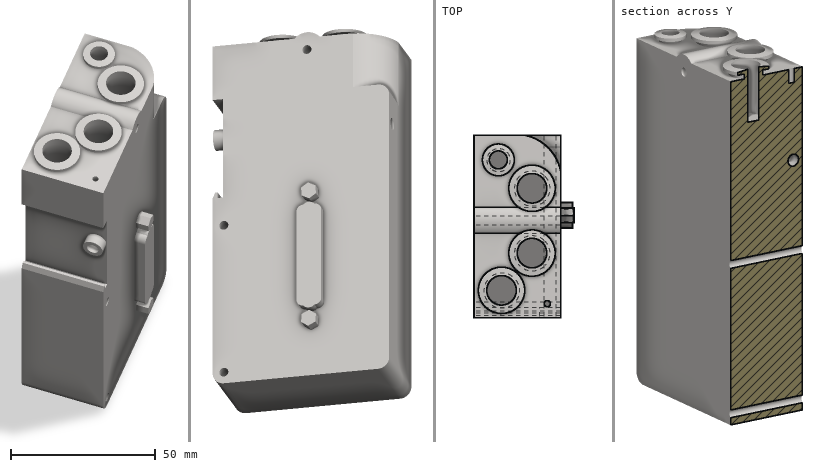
import cadquery as cq
import math

BODY_X = 30.0
BODY_Y = 63.0
BODY_Z = 124.7
OVERALL_Z = 127.92
BOTTOM_RADIUS = 4.0

RECESS_BOTTOM = 68.6
RECESS_TOP = 104.9
RECESS_DEPTH = 3.7
LIP_HEIGHT = 2.1
LIP_WIDTH = 1.8
LIP_TOP_WIDTH = 0.9

RIDGE_DIAMETER = 12.2
RIDGE_Y = 33.65
RIDGE_Z = 120.6

MOUNT_DIAMETER = 3.2
MOUNT_POINTS = [(RIDGE_Y, 120.3), (4.0, 58.3), (4.0, 4.1)]

CORNER_START = (17.6, BODY_Y)
CORNER_MIDDLE = (25.7, 58.6)
CORNER_END = (BODY_X, 50.0)
SHOULDER_Z = RECESS_TOP
SHOULDER_RADIUS = 4.0

LARGE_FITTING = {"flange": 16.0, "sleeve": 12.2, "bore": 10.2, "height": OVERALL_Z - BODY_Z}
SMALL_FITTING = {"flange": 11.0, "sleeve": 8.0, "bore": 6.2, "height": 2.8}
LARGE_POINTS = [(20.0, 44.7), (20.0, 22.35), (9.5, 9.5)]
SMALL_POINT = (8.4, 54.5)
FLANGE_THICKNESS = 1.2
FLANGE_FALL = 0.4
BORE_DEPTH = 16.0

PIN_HOLE_DIAMETER = 2.16
PIN_HOLE_POINT = (25.3, 4.9)
PIN_HOLE_DEPTH = 5.0

NOZZLE_DIAMETER = 7.2
NOZZLE_BORE = 4.2
NOZZLE_X = 26.1
NOZZLE_Z = 91.4

CONNECTOR_Y = 35.4
CONNECTOR_Z = 43.0
CONNECTOR_WIDTH = 8.8
CONNECTOR_LENGTH = 37.2
CONNECTOR_HEIGHT = 4.0
CONNECTOR_RADIUS = 2.3
NUB_DIAMETER = 5.5
NUB_STAND = 0.9
SCREW_SPACING = 47.0
SCREW_SIDES = 6
SCREW_CORNERS = 5.9
SCREW_HEIGHT = 4.5
SCREW_TILT = 3.6


def cylinder_x(diameter, y, z, start, length):
    """Cylinder along +X."""
    circle = cq.Workplane("YZ", origin=(start, y, z)).circle(diameter / 2)
    return circle.extrude(length)


def cylinder_z(diameter, point, bottom, top):
    """Cylinder along Z between two heights."""
    circle = cq.Workplane("XY", origin=(*point, bottom)).circle(diameter / 2)
    return circle.extrude(top - bottom)


def nozzle_cylinder(diameter, length):
    """Cylinder on the nozzle axis, from the front face along +Y."""
    circle = cq.Workplane("XZ", origin=(NOZZLE_X, 0, NOZZLE_Z)).circle(diameter / 2)
    return circle.extrude(-length)


def make_body():
    """Side profile with the recess and its lip, plus the ridge on top."""
    profile = [
        (0, 0),
        (0, RECESS_BOTTOM),
        (LIP_WIDTH - LIP_TOP_WIDTH, RECESS_BOTTOM + LIP_HEIGHT),
        (LIP_WIDTH, RECESS_BOTTOM + LIP_HEIGHT),
        (LIP_WIDTH, RECESS_BOTTOM),
        (RECESS_DEPTH, RECESS_BOTTOM),
        (RECESS_DEPTH, RECESS_TOP),
        (0, RECESS_TOP),
        (0, BODY_Z),
        (BODY_Y, BODY_Z),
        (BODY_Y, 0),
    ]
    body = cq.Workplane("YZ").polyline(profile).close().extrude(BODY_X)
    body = body.faces("<Z").edges("|X").fillet(BOTTOM_RADIUS)
    return body.union(cylinder_x(RIDGE_DIAMETER, RIDGE_Y, RIDGE_Z, 0, BODY_X))


def make_corner_cut():
    """Material removed at the top +X +Y corner, leaving a rounded shoulder."""
    base = SHOULDER_Z - SHOULDER_RADIUS
    cut = (
        cq.Workplane("XY", origin=(0, 0, base))
        .moveTo(*CORNER_START)
        .threePointArc(CORNER_MIDDLE, CORNER_END)
        .lineTo(BODY_X, BODY_Y)
        .close()
        .extrude(BODY_Z - base)
    )
    shoulder = (
        cq.Workplane("XY")
        .box(BODY_X, BODY_Y, SHOULDER_Z, centered=False)
        .faces(">Z")
        .edges(">Y")
        .fillet(SHOULDER_RADIUS)
    )
    return cut.cut(shoulder)


def make_fitting(point, fitting):
    """Sleeve with a wider flange whose top falls slightly from bore rim to edge."""
    rim_height = fitting["height"]
    edge_height = rim_height - FLANGE_FALL
    flange_radius = fitting["flange"] / 2
    sleeve_radius = fitting["sleeve"] / 2
    profile = [
        (0, 0),
        (sleeve_radius, 0),
        (sleeve_radius, edge_height - FLANGE_THICKNESS),
        (flange_radius, edge_height - FLANGE_THICKNESS),
        (flange_radius, edge_height),
        (fitting["bore"] / 2, rim_height),
        (0, rim_height),
    ]
    half_section = cq.Workplane("XZ").polyline(profile).close()
    return half_section.revolve(360, (0, 0), (0, 1)).translate((*point, BODY_Z))


def make_bore(point, fitting):
    """Blind bore from the fitting rim down into the body."""
    return cylinder_z(fitting["bore"], point, BODY_Z - BORE_DEPTH, BODY_Z + fitting["height"])


def make_connector():
    """Rounded block with a round nub at each end."""
    block = (
        cq.Workplane("YZ", origin=(BODY_X, CONNECTOR_Y, CONNECTOR_Z))
        .rect(CONNECTOR_WIDTH, CONNECTOR_LENGTH)
        .extrude(CONNECTOR_HEIGHT)
        .edges("|X")
        .fillet(CONNECTOR_RADIUS)
    )
    nub_offset = CONNECTOR_LENGTH / 2 + NUB_STAND - NUB_DIAMETER / 2
    for side in (-1, 1):
        nub_z = CONNECTOR_Z + side * nub_offset
        block = block.union(cylinder_x(NUB_DIAMETER, CONNECTOR_Y, nub_z, BODY_X, CONNECTOR_HEIGHT))
    return block


def make_screw(side):
    """Hexagon head above (side 1) or below (side -1) the connector block."""
    radius = SCREW_CORNERS / 2
    corners = []
    for index in range(SCREW_SIDES):
        angle = math.radians(90 + side * SCREW_TILT + 360 / SCREW_SIDES * index)
        corners.append((radius * math.cos(angle), radius * math.sin(angle)))
    screw_z = CONNECTOR_Z + side * SCREW_SPACING / 2
    plane = cq.Workplane("YZ", origin=(BODY_X, CONNECTOR_Y, screw_z))
    return plane.polyline(corners).close().extrude(SCREW_HEIGHT)


fittings = [(point, LARGE_FITTING) for point in LARGE_POINTS]
fittings.append((SMALL_POINT, SMALL_FITTING))

result = make_body().cut(make_corner_cut())

for point, fitting in fittings:
    result = result.union(make_fitting(point, fitting))
for point, fitting in fittings:
    result = result.cut(make_bore(point, fitting))

result = result.cut(cylinder_z(PIN_HOLE_DIAMETER, PIN_HOLE_POINT, BODY_Z - PIN_HOLE_DEPTH, BODY_Z))

result = result.union(nozzle_cylinder(NOZZLE_DIAMETER, RECESS_DEPTH))
result = result.cut(nozzle_cylinder(NOZZLE_BORE, BODY_Y))

for y, z in MOUNT_POINTS:
    result = result.cut(cylinder_x(MOUNT_DIAMETER, y, z, 0, BODY_X))

result = result.union(make_connector())
for side in (-1, 1):
    result = result.union(make_screw(side))